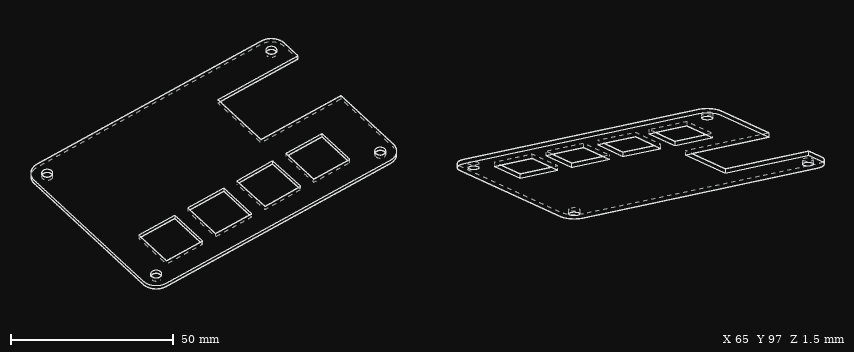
import cadquery as cq

plate_width = 65.0
plate_length = 97.0
plate_thickness = 1.5
corner_radius = 5.0

hole_diameter = 3.4
hole_spacing_x = plate_width - 2 * corner_radius
hole_spacing_y = plate_length - 2 * corner_radius

notch_width = 21.6
notch_depth = 31.0
notch_center_x = -9.7

window_size = 14.0
window_pitch = 19.1
first_window_y = 26.9
window_placements = [(17.6, 0.0), (17.7, 0.9), (17.75, 0.0), (17.8, 0.0)]


def make_plate():
    blank = cq.Workplane("XY").rect(plate_width, plate_length).extrude(plate_thickness)
    return blank.edges("|Z").fillet(corner_radius)


def make_screw_holes():
    centers = cq.Workplane("XY").rect(hole_spacing_x, hole_spacing_y, forConstruction=True).vertices()
    return centers.circle(hole_diameter / 2).extrude(plate_thickness)


def make_notch():
    center_y = (plate_length - notch_depth) / 2
    profile = cq.Workplane("XY").center(notch_center_x, center_y).rect(notch_width, notch_depth)
    return profile.extrude(plate_thickness)


def make_window(center_x, center_y, tilt):
    square = cq.Workplane("XY").rect(window_size, window_size).extrude(plate_thickness)
    turned = square.rotate((0, 0, 0), (0, 0, 1), tilt)
    return turned.translate((center_x, center_y, 0))


result = make_plate().cut(make_screw_holes()).cut(make_notch())
for index, (window_x, window_tilt) in enumerate(window_placements):
    window_y = first_window_y - index * window_pitch
    result = result.cut(make_window(window_x, window_y, window_tilt))